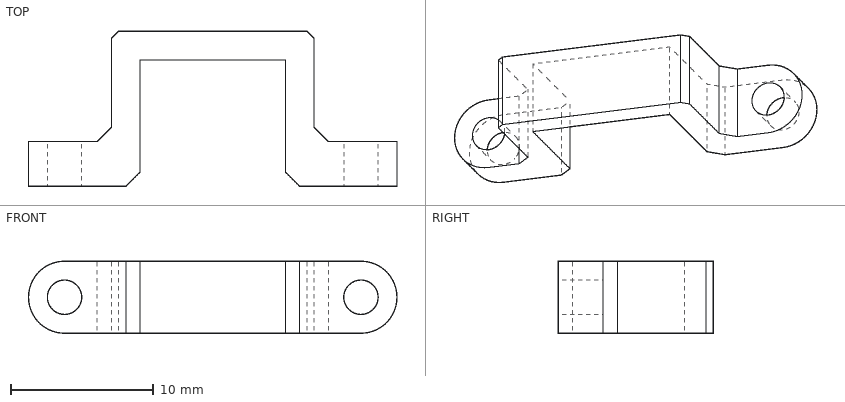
import cadquery as cq

overall_length = 25.91
overall_depth = 10.9
strip_height = 5.08
wall = 2.03
channel_width = 10.2
ear_thickness = 3.15
hole_diameter = 2.4
back_chamfer = 0.5
bend_chamfer = 1.0

half_length = overall_length / 2
half_channel = channel_width / 2
half_bridge = half_channel + wall
ear_radius = strip_height / 2
hole_offset = half_length - ear_radius
channel_depth = overall_depth - wall


def make_bracket():
    """Hat-shaped profile in the XY plane, extruded along Z."""
    right_half = [
        (0, channel_depth),
        (half_channel, channel_depth),
        (half_channel, bend_chamfer),
        (half_channel + bend_chamfer, 0),
        (half_length, 0),
        (half_length, ear_thickness),
        (half_bridge + bend_chamfer, ear_thickness),
        (half_bridge, ear_thickness + bend_chamfer),
        (half_bridge, overall_depth - back_chamfer),
        (half_bridge - back_chamfer, overall_depth),
        (0, overall_depth),
    ]
    half = (
        cq.Workplane("XY")
        .workplane(offset=-strip_height / 2)
        .polyline(right_half)
        .close()
        .extrude(strip_height)
    )
    return half.union(half.mirror("YZ")).clean()


def make_rounded_envelope():
    """Stadium along Y that gives the ears their full-round ends."""
    return (
        cq.Workplane("XZ")
        .slot2D(overall_length, strip_height)
        .extrude(-overall_depth)
    )


def make_ear_holes():
    """Through holes concentric with the round ear ends."""
    return (
        cq.Workplane("XZ")
        .pushPoints([(-hole_offset, 0), (hole_offset, 0)])
        .circle(hole_diameter / 2)
        .extrude(-ear_thickness)
    )


result = make_bracket().intersect(make_rounded_envelope()).cut(make_ear_holes())